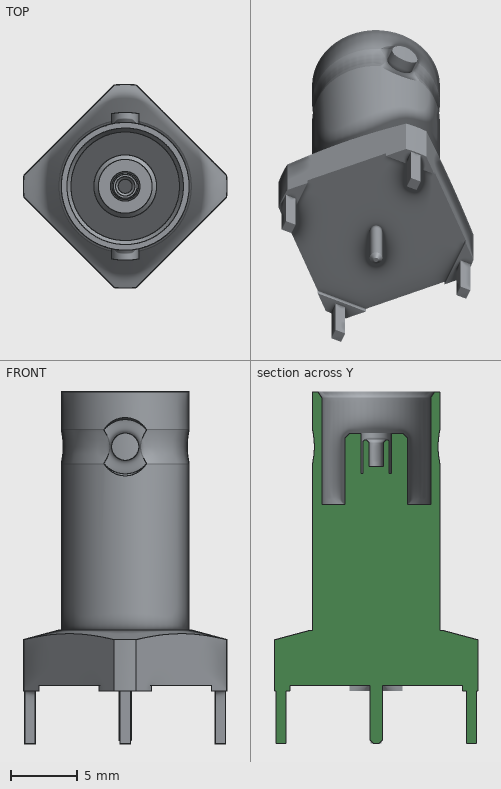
import cadquery as cq
import math

TOP_Z = 22.6
PIN_LENGTH = 4.0

BASE_WIDTH = 12.0
BASE_CORNER_RADIUS = 7.7
BASE_SHOULDER_RADIUS = 5.0
BASE_TOP_Z = 4.6
BASE_TOP_SLOPE = 15.0
FOOT_HEIGHT = 0.4
RECESS_WIDTH = 13.0

BARREL_RADIUS = 4.825
BORE_RADIUS = 4.1
BORE_DEPTH = 8.5
MOUTH_RADIUS = 4.4
MOUTH_DEPTH = 0.45

LUG_Z = 18.44
GROOVE_HEIGHT = 2.6
GROOVE_DEPTH = 0.14
FLAT_OFFSET = 4.54
FLAT_RADIUS = 2.05
FLAT_RIM_RADIUS = 2.2
LUG_RADIUS = 1.03
LUG_TIP_RADIUS = 5.575

INSULATOR_RADIUS = 2.37
INSULATOR_CHAMFER = 0.34
INSULATOR_TOP_Z = 19.45
INSULATOR_HOLE_RADIUS = 1.12
INSULATOR_HOLE_DEPTH = 3.0
CONTACT_RADIUS = 1.0
CONTACT_CHAMFER = 0.1
CONTACT_RECESS = 0.5
SOCKET_RADIUS = 0.53
SOCKET_MOUTH_RADIUS = 0.73
SOCKET_DEPTH = 2.0

PIN_WIDTH = 0.8
PIN_OFFSET = 5.08 * math.sqrt(2)
CENTRE_PIN_RADIUS = 0.48
CENTRE_PIN_CHAMFER = 0.3

BORE_FLOOR_Z = TOP_Z - BORE_DEPTH


def revolve_profile(points):
    """Revolve a closed (radius, z) outline about the Z axis."""
    return cq.Workplane("XZ").polyline(points).close().revolve(360, (0, 0, 0), (0, 1, 0))


def make_base():
    slope_run = BASE_CORNER_RADIUS - BASE_SHOULDER_RADIUS
    edge_z = BASE_TOP_Z - slope_run * math.tan(math.radians(BASE_TOP_SLOPE))
    envelope = revolve_profile([
        (0, 0),
        (BASE_CORNER_RADIUS, 0),
        (BASE_CORNER_RADIUS, edge_z),
        (BASE_SHOULDER_RADIUS, BASE_TOP_Z),
        (0, BASE_TOP_Z),
    ])
    block = cq.Workplane("XY").rect(BASE_WIDTH, BASE_WIDTH).extrude(BASE_TOP_Z)
    recess = cq.Workplane("XY").rect(RECESS_WIDTH, RECESS_WIDTH).extrude(FOOT_HEIGHT)
    return envelope.intersect(block.rotate((0, 0, 0), (0, 0, 1), 45)).cut(recess)


def make_barrel():
    half_groove = GROOVE_HEIGHT / 2
    return (
        cq.Workplane("XZ")
        .moveTo(0, FOOT_HEIGHT)
        .lineTo(BARREL_RADIUS, FOOT_HEIGHT)
        .lineTo(BARREL_RADIUS, LUG_Z - half_groove)
        .threePointArc(
            (BARREL_RADIUS - GROOVE_DEPTH, LUG_Z),
            (BARREL_RADIUS, LUG_Z + half_groove),
        )
        .lineTo(BARREL_RADIUS, TOP_Z)
        .lineTo(MOUTH_RADIUS, TOP_Z)
        .lineTo(BORE_RADIUS, TOP_Z - MOUTH_DEPTH)
        .lineTo(BORE_RADIUS, BORE_FLOOR_Z)
        .lineTo(0, BORE_FLOOR_Z)
        .close()
        .revolve(360, (0, 0, 0), (0, 1, 0))
    )


def make_flat_cutter():
    """Flared round cutter that leaves a flat floor on the -Y side of the barrel."""
    depth = BARREL_RADIUS - FLAT_OFFSET
    return (
        cq.Workplane("XZ", origin=(0, -FLAT_OFFSET, LUG_Z))
        .circle(FLAT_RADIUS)
        .workplane(offset=depth)
        .circle(FLAT_RIM_RADIUS)
        .loft()
    )


def make_lugs():
    """Both bayonet lugs, with tips curved about the barrel axis."""
    inner_radius = (BORE_RADIUS + FLAT_OFFSET) / 2
    rod = (
        cq.Workplane("XZ", origin=(0, 0, LUG_Z))
        .circle(LUG_RADIUS)
        .extrude(BASE_WIDTH, both=True)
    )
    ring = (
        cq.Workplane("XY", origin=(0, 0, LUG_Z - 2 * LUG_RADIUS))
        .circle(LUG_TIP_RADIUS)
        .circle(inner_radius)
        .extrude(4 * LUG_RADIUS)
    )
    return rod.intersect(ring)


def make_insulator():
    hole_floor_z = INSULATOR_TOP_Z - INSULATOR_HOLE_DEPTH
    return revolve_profile([
        (0, BORE_FLOOR_Z),
        (INSULATOR_RADIUS, BORE_FLOOR_Z),
        (INSULATOR_RADIUS, INSULATOR_TOP_Z - INSULATOR_CHAMFER),
        (INSULATOR_RADIUS - INSULATOR_CHAMFER, INSULATOR_TOP_Z),
        (INSULATOR_HOLE_RADIUS, INSULATOR_TOP_Z),
        (INSULATOR_HOLE_RADIUS, hole_floor_z),
        (0, hole_floor_z),
    ])


def make_contact():
    """Female centre contact standing in the insulator hole."""
    tip_z = INSULATOR_TOP_Z - CONTACT_RECESS
    socket_floor_z = tip_z - SOCKET_DEPTH
    lead_in = SOCKET_MOUTH_RADIUS - SOCKET_RADIUS
    return revolve_profile([
        (0, BORE_FLOOR_Z),
        (CONTACT_RADIUS, BORE_FLOOR_Z),
        (CONTACT_RADIUS, tip_z - CONTACT_CHAMFER),
        (CONTACT_RADIUS - CONTACT_CHAMFER, tip_z),
        (SOCKET_MOUTH_RADIUS, tip_z),
        (SOCKET_RADIUS, tip_z - lead_in),
        (SOCKET_RADIUS, socket_floor_z),
        (0, socket_floor_z),
    ])


def make_corner_pins():
    """Four square mounting pins under the corners of the base."""
    spots = [(PIN_OFFSET, 0), (0, PIN_OFFSET), (-PIN_OFFSET, 0), (0, -PIN_OFFSET)]
    return (
        cq.Workplane("XY", origin=(0, 0, -PIN_LENGTH))
        .pushPoints(spots)
        .rect(PIN_WIDTH, PIN_WIDTH)
        .extrude(PIN_LENGTH + FOOT_HEIGHT)
    )


def make_centre_pin():
    """Round solder pin with a chamfered tip, rooted in the base."""
    return (
        cq.Workplane("XY", origin=(0, 0, -PIN_LENGTH))
        .circle(CENTRE_PIN_RADIUS)
        .extrude(PIN_LENGTH + BASE_TOP_Z)
        .faces("<Z")
        .chamfer(CENTRE_PIN_CHAMFER)
    )


barrel = make_barrel()
flat_cutter = make_flat_cutter()
for angle in (0, 180):
    barrel = barrel.cut(flat_cutter.rotate((0, 0, 0), (0, 0, 1), angle))

result = (
    make_base()
    .union(barrel)
    .union(make_insulator())
    .union(make_contact())
    .union(make_lugs())
    .union(make_corner_pins())
    .union(make_centre_pin())
)